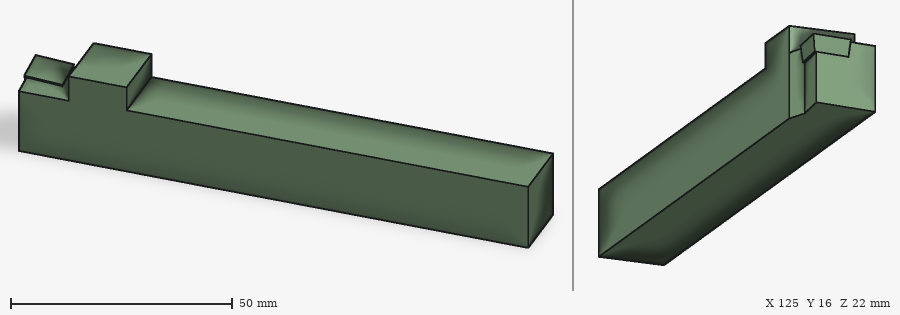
import cadquery as cq
import math

overall_length = 125.0
shank_width = 16.0
shank_height = 16.0
overall_height = 22.0
block_start = 14.0
block_end = 28.0
seat_drop = 0.4
head_corner_y = 15.0
neck_x = 9.2
end_setback = 0.06

insert_side = 9.6
insert_thickness = 4.0
relief_angle = 7.0
lead_angle = 5.0

lead = math.radians(lead_angle)
edge_long = insert_side * math.cos(lead)
edge_short = insert_side * math.sin(lead)
relief_inset = insert_thickness * math.tan(math.radians(relief_angle))

end_offset = relief_inset + end_setback
end_front_x = shank_width * math.tan(lead) + end_offset / math.cos(lead)
end_back_x = end_front_x - head_corner_y * math.tan(lead)
neck_y = head_corner_y - (neck_x - end_back_x) * math.tan(lead)


def make_insert():
    """Rhombic cutting insert, narrowing downward from its top face."""
    nose_y = shank_width
    return (
        cq.Workplane("XY", origin=(0, 0, shank_height))
        .polyline([
            (0, nose_y),
            (edge_short, nose_y - edge_long),
            (edge_short + edge_long, nose_y - edge_long - edge_short),
            (edge_long, nose_y - edge_short),
        ])
        .close()
        .extrude(-insert_thickness, taper=relief_angle)
    )


def make_holder(insert):
    """Square shank with a raised block, a narrowed head and an insert pocket."""
    plan = (
        cq.Workplane("XY")
        .polyline([
            (end_front_x, 0),
            (overall_length, 0),
            (overall_length, shank_width),
            (block_start, shank_width),
            (neck_x, neck_y),
            (end_back_x, head_corner_y),
        ])
        .close()
        .extrude(overall_height)
    )
    head_top = shank_height - seat_drop
    profile = (
        cq.Workplane("XZ")
        .polyline([
            (0, 0),
            (overall_length, 0),
            (overall_length, shank_height),
            (block_end, shank_height),
            (block_end, overall_height),
            (block_start, overall_height),
            (block_start, head_top),
            (0, head_top),
        ])
        .close()
        .extrude(-shank_width)
    )
    return plan.intersect(profile).cut(insert)


insert = make_insert()
holder = make_holder(insert)

result = cq.Compound.makeCompound([holder.solids().val(), insert.val()])